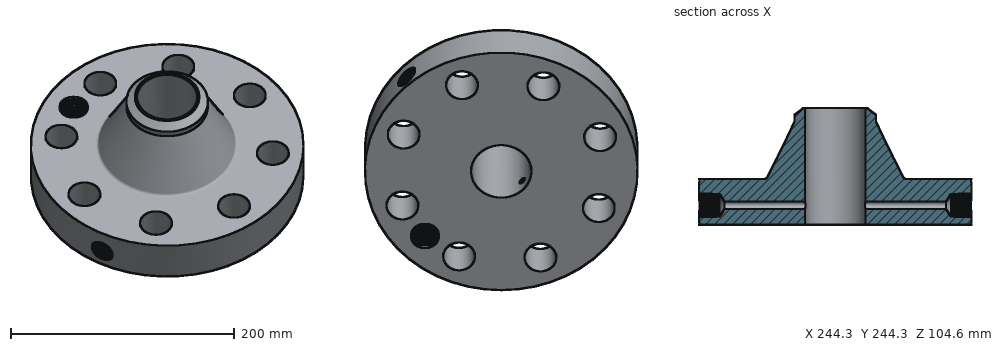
import math

import cadquery as cq

INCH = 25.4

flange_diameter = 9.62 * INCH
flange_thickness = 1.62 * INCH
bolt_circle_radius = 7.5 * INCH / 2
bolt_hole_diameter = 1.12 * INCH
bolt_count = 8

overall_height = 4.12 * INCH
hub_base_radius = 4.88 * INCH / 2
neck_radius = 2.88 * INCH / 2
bore_diameter = 2.125 * INCH
weld_land_width = 1.9
bevel_angle = 37.5
neck_straight_length = 6.0
hub_fillet_radius = 3.3

jack_pitch = INCH / 8
jack_root_radius = INCH / 2
jack_thread_depth = 1.8
jack_thread_lead = jack_pitch / 2

tap_height = 17.4
tap_pitch = INCH / 14
tap_root_radius = 10.6
tap_thread_depth = 1.25
tap_taper = 1 / 32
tap_turns = 11
tap_thread_lead = tap_pitch / 4
tap_drill_point_angle = 118
tap_passage_diameter = 0.25 * INCH


def make_body():
    """Disc and tapered welding neck, turned about Z, with the bore through it."""
    land_radius = bore_diameter / 2 + weld_land_width
    bevel_height = (neck_radius - land_radius) * math.tan(math.radians(bevel_angle))
    bevel_base = overall_height - bevel_height
    body = (
        cq.Workplane("XZ")
        .lineTo(flange_diameter / 2, 0)
        .lineTo(flange_diameter / 2, flange_thickness)
        .lineTo(hub_base_radius, flange_thickness)
        .lineTo(neck_radius, bevel_base - neck_straight_length)
        .lineTo(neck_radius, bevel_base)
        .lineTo(land_radius, overall_height)
        .lineTo(0, overall_height)
        .close()
        .revolve(360, (0, 0, 0), (0, 1, 0))
    )
    selection_margin = 1.0
    corner = hub_base_radius + selection_margin
    hub_base_edge = cq.selectors.BoxSelector(
        (-corner, -corner, flange_thickness - selection_margin),
        (corner, corner, flange_thickness + selection_margin),
        boundingbox=True,
    )
    body = body.edges(hub_base_edge).fillet(hub_fillet_radius)
    bore = cq.Workplane("XY").circle(bore_diameter / 2).extrude(overall_height)
    return body.cut(bore)


def bolt_holes():
    """Bolt holes straddling the X and Y axes."""
    return (
        cq.Workplane("XY")
        .polarArray(bolt_circle_radius, 180 / bolt_count, 360, bolt_count)
        .circle(bolt_hole_diameter / 2)
        .extrude(flange_thickness)
    )


def threaded_cutter(root_radius, thread_depth, pitch, turns, taper=0.0, point_angle=None):
    """Hole cutter with V-shaped thread rings, from a crest at z = 0 down along -Z.

    With a point angle the hole ends in a drill cone, otherwise flat.
    """
    crest_radius = root_radius - thread_depth
    profile = [(0, 0), (crest_radius, 0)]
    for turn in range(turns):
        root_position = (turn + 0.5) * pitch
        crest_position = (turn + 1) * pitch
        profile.append((root_radius - taper * root_position, -root_position))
        profile.append((crest_radius - taper * crest_position, -crest_position))
    end_radius, end_height = profile[-1]
    point_length = 0
    if point_angle is not None:
        point_length = end_radius / math.tan(math.radians(point_angle / 2))
    profile.append((0, end_height - point_length))
    return cq.Workplane("XZ").polyline(profile).close().revolve(360, (0, 0, 0), (0, 1, 0))


def jack_screw_hole():
    """Threaded through hole on the bolt circle, on the -X side."""
    turns = math.ceil((flange_thickness + jack_thread_lead) / jack_pitch)
    cutter = threaded_cutter(jack_root_radius, jack_thread_depth, jack_pitch, turns)
    return cutter.translate((-bolt_circle_radius, 0, flange_thickness + jack_thread_lead))


def pressure_taps():
    """Two opposed radial taps along Y, joined by one passage across the bore."""
    passage = (
        cq.Workplane("XZ", origin=(0, 0, tap_height))
        .circle(tap_passage_diameter / 2)
        .extrude(flange_diameter / 2, both=True)
    )
    tap = (
        threaded_cutter(
            tap_root_radius, tap_thread_depth, tap_pitch, tap_turns, tap_taper, tap_drill_point_angle
        )
        .rotate((0, 0, 0), (1, 0, 0), 90)
        .translate((0, -flange_diameter / 2 - tap_thread_lead, tap_height))
    )
    opposite_tap = tap.rotate((0, 0, 0), (0, 0, 1), 180)
    return passage.union(tap).union(opposite_tap)


result = make_body().cut(bolt_holes()).cut(jack_screw_hole()).cut(pressure_taps())